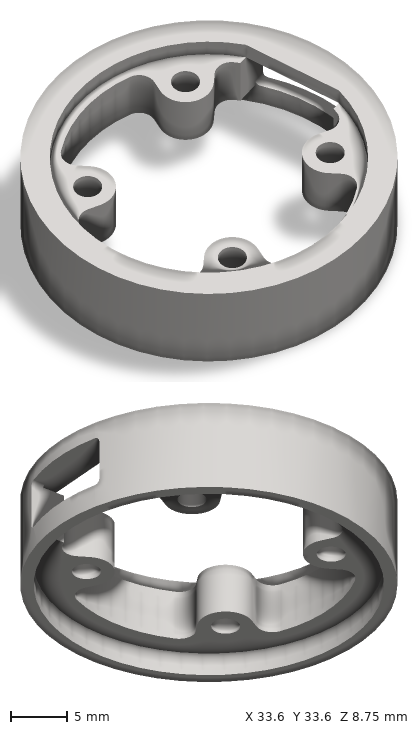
import cadquery as cq
import math

outer_diameter = 33.6
height = 8.75

top_recess_diameter = 28.35
web_bore_diameter = 26.75
bottom_recess_diameter = 31.2
web_bottom = 2.25
web_top = 7.12
web_height = web_top - web_bottom

boss_spacing = 15.55
boss_diameter = 5.05
screw_hole_diameter = 2.6
boss_fillet = 1.5
boss_flare_angle = 15.0

window_width = 10.0
window_corner_radius = 0.5
flat_distance = math.sqrt((top_recess_diameter / 2) ** 2 - (window_width / 2) ** 2)

tolerance = 0.005


def disc(diameter, bottom, top):
    """Solid cylinder on the ring axis between two heights."""
    return cq.Workplane("XY").workplane(offset=bottom).circle(diameter / 2).extrude(top - bottom)


def boss_cylinders(diameter):
    """Web-height cylinders at the four boss centres."""
    return (
        cq.Workplane("XY")
        .workplane(offset=web_bottom)
        .rect(boss_spacing, boss_spacing, forConstruction=True)
        .vertices()
        .circle(diameter / 2)
        .extrude(web_height)
    )


def boss_flare():
    """Web-height wedge on +X, tangent to its boss and widening toward the wall."""
    flare = math.radians(boss_flare_angle)
    boss_radius = boss_diameter / 2
    boss_distance = boss_spacing / math.sqrt(2)
    tangent_x = boss_distance - boss_radius * math.sin(flare)
    tangent_y = boss_radius * math.cos(flare)
    outer_x = outer_diameter / 2
    outer_y = tangent_y + (outer_x - tangent_x) * math.tan(flare)
    return (
        cq.Workplane("XY")
        .workplane(offset=web_bottom)
        .polyline([(tangent_x, -tangent_y), (outer_x, -outer_y), (outer_x, outer_y), (tangent_x, tangent_y)])
        .close()
        .extrude(web_height)
    )


def web_opening():
    """Central opening that leaves the bosses, with their roots blended into the bore."""
    opening = disc(web_bore_diameter, web_bottom, web_top).cut(boss_cylinders(boss_diameter))
    for angle in (45, 135, 225, 315):
        opening = opening.cut(boss_flare().rotate((0, 0, 0), (0, 0, 1), angle))

    def is_boss_root(edge):
        center = edge.Center()
        on_bore = abs(math.hypot(center.x, center.y) - web_bore_diameter / 2) < tolerance
        return on_bore and abs(center.y) > tolerance

    return opening.edges("|Z").filter(is_boss_root).fillet(boss_fillet)


def top_recess():
    """Round recess above the web, closed by a flat over the window."""
    recess = disc(top_recess_diameter, web_top, height)
    behind_flat = (
        cq.Workplane("XY")
        .box(outer_diameter, outer_diameter, height, centered=(True, False, False))
        .translate((0, flat_distance, 0))
    )
    return recess.cut(behind_flat)


def window():
    """Side window: square corners within the bottom recess's radius, rounded through the wall beyond."""
    square_window = (
        cq.Workplane("XY")
        .box(window_width, outer_diameter / 2, web_height, centered=(True, False, False))
        .translate((0, boss_spacing / 2, web_bottom))
    )
    rounded_window = square_window.edges("|Y").fillet(window_corner_radius)
    inner_window = square_window.intersect(disc(bottom_recess_diameter, web_bottom, web_top))
    return rounded_window.union(inner_window)


result = disc(outer_diameter, 0, height)
result = result.cut(disc(bottom_recess_diameter, 0, web_bottom))
result = result.cut(web_opening())
result = result.cut(top_recess())
result = result.cut(boss_cylinders(screw_hole_diameter))
result = result.cut(window())